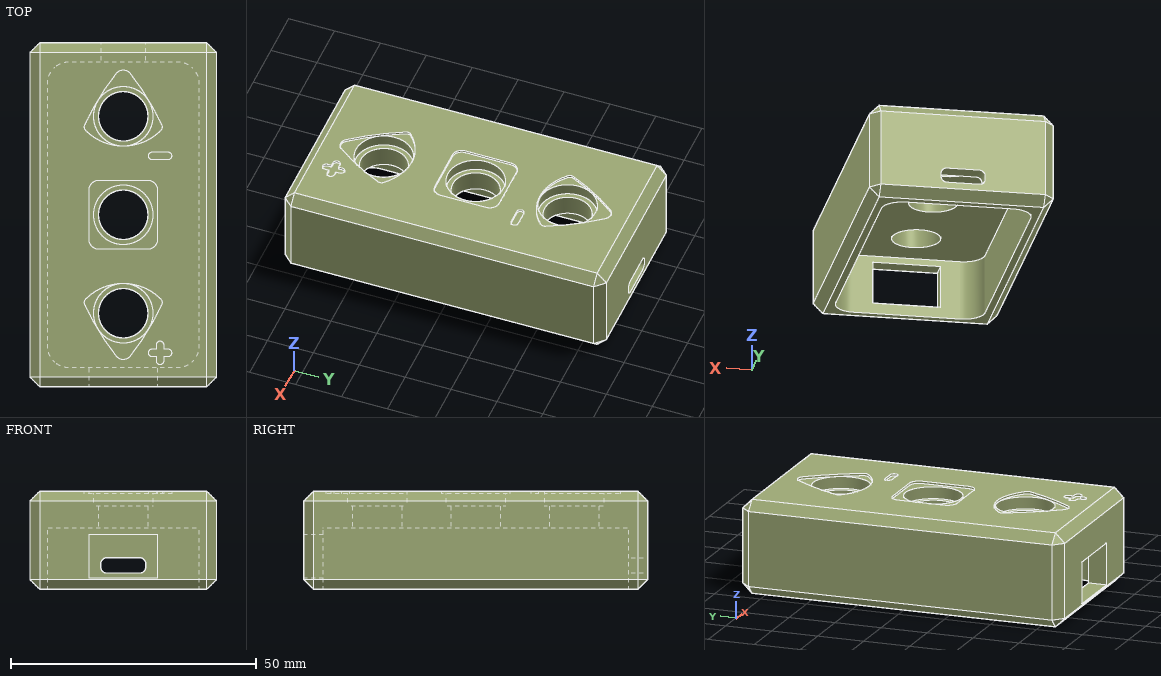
import cadquery as cq

WIDTH = 38.0
LENGTH = 70.0
HEIGHT = 20.0
EDGE_CHAMFER = 2.0

END_WALL = 3.9
SIDE_WALL = 3.6
ROOF_THICKNESS = 7.5
CAVITY_CORNER_RADIUS = 4.4
CAVITY_HEIGHT = HEIGHT - ROOF_THICKNESS

HOLE_PITCH = 20.0
HOLE_DIAMETER = 10.0
COUNTERBORE_DIAMETER = 12.1
COUNTERBORE_DEPTH = 2.5

RECESS_DEPTH = 0.5
SQUARE_SIDE = 14.0
SQUARE_CORNER_RADIUS = 2.0

ARROW_TIP = 10.4
ARROW_HALF_WIDTH = 8.1
ARROW_BASE_CORNER = 2.4
ARROW_BASE_BULGE = COUNTERBORE_DIAMETER / 2
ARROW_SIDE_BULGE = 0.55
ARROW_TIP_RADIUS = 1.8
ARROW_BASE_RADIUS = 1.0

MARK_LENGTH = 4.75
MARK_WIDTH = 1.55
MARK_DEPTH = RECESS_DEPTH
MARK_X = 7.5
MARK_OFFSET = 8.05

WINDOW_WIDTH = 14.0
WINDOW_BOTTOM = 2.3
WINDOW_TOP = 11.2

SLOT_WIDTH = 9.1
SLOT_HEIGHT = 3.1
SLOT_CENTRE_Z = 4.9
SLOT_CORNER_RADIUS = 1.2


def make_block():
    block = cq.Workplane("XY").box(WIDTH, LENGTH, HEIGHT, centered=(True, True, False))
    return block.edges().chamfer(EDGE_CHAMFER)


def make_cavity():
    """Rectangular hollow with rounded upright corners."""
    return (
        cq.Workplane("XY")
        .rect(WIDTH - 2 * SIDE_WALL, LENGTH - 2 * END_WALL)
        .extrude(CAVITY_HEIGHT)
        .edges("|Z")
        .fillet(CAVITY_CORNER_RADIUS)
    )


def make_stepped_hole(y):
    """Through hole with a counterbore sunk from the recess floor."""
    counterbore_height = RECESS_DEPTH + COUNTERBORE_DEPTH
    hole = cq.Workplane("XY").center(0, y).circle(HOLE_DIAMETER / 2).extrude(HEIGHT)
    counterbore = (
        cq.Workplane("XY", origin=(0, y, HEIGHT - counterbore_height))
        .circle(COUNTERBORE_DIAMETER / 2)
        .extrude(counterbore_height)
    )
    return hole.union(counterbore)


def make_square_recess():
    return (
        cq.Workplane("XY", origin=(0, 0, HEIGHT - RECESS_DEPTH))
        .rect(SQUARE_SIDE, SQUARE_SIDE)
        .extrude(RECESS_DEPTH)
        .edges("|Z")
        .fillet(SQUARE_CORNER_RADIUS)
    )


def make_arrow_recess(y, direction):
    """Rounded triangle around the hole at y, its tip towards +Y (1) or -Y (-1)."""
    tip = cq.Vector(0, direction * ARROW_TIP)
    left = cq.Vector(-ARROW_HALF_WIDTH, -direction * ARROW_BASE_CORNER)
    right = cq.Vector(ARROW_HALF_WIDTH, left.y)
    base_middle = cq.Vector(0, -direction * ARROW_BASE_BULGE)

    def side_middle(corner):
        side = tip - corner
        outward = cq.Vector(-side.y, side.x).normalized()
        if outward.x * corner.x < 0:
            outward = outward * -1
        return (tip + corner) * 0.5 + outward * ARROW_SIDE_BULGE

    sharp_arrow = (
        cq.Workplane("XY", origin=(0, y, HEIGHT - RECESS_DEPTH))
        .moveTo(left.x, left.y)
        .threePointArc(base_middle.toTuple()[:2], right.toTuple()[:2])
        .threePointArc(side_middle(right).toTuple()[:2], tip.toTuple()[:2])
        .threePointArc(side_middle(left).toTuple()[:2], left.toTuple()[:2])
        .close()
        .extrude(RECESS_DEPTH)
    )
    tip_edge, base_edges = (">Y", "<Y") if direction > 0 else ("<Y", ">Y")
    base_rounded = sharp_arrow.edges("|Z").edges(base_edges).fillet(ARROW_BASE_RADIUS)
    return base_rounded.edges("|Z").edges(tip_edge).fillet(ARROW_TIP_RADIUS)


def make_mark_bar(y, angle):
    """Round-ended groove in the top face."""
    return (
        cq.Workplane("XY", origin=(MARK_X, y, HEIGHT - MARK_DEPTH))
        .slot2D(MARK_LENGTH, MARK_WIDTH, angle)
        .extrude(MARK_DEPTH)
    )


def make_window():
    height = WINDOW_TOP - WINDOW_BOTTOM
    return cq.Workplane("XY", origin=(0, (END_WALL - LENGTH) / 2, WINDOW_BOTTOM)).box(
        WINDOW_WIDTH, END_WALL, height, centered=(True, True, False)
    )


def make_slot():
    return (
        cq.Workplane("XY", origin=(0, (LENGTH - END_WALL) / 2, SLOT_CENTRE_Z))
        .box(SLOT_WIDTH, END_WALL, SLOT_HEIGHT)
        .edges("|Y")
        .fillet(SLOT_CORNER_RADIUS)
    )


result = make_block().cut(make_cavity()).cut(make_window()).cut(make_slot())

for hole_y in (-HOLE_PITCH, 0, HOLE_PITCH):
    result = result.cut(make_stepped_hole(hole_y))

result = result.cut(make_square_recess())
for direction in (-1, 1):
    result = result.cut(make_arrow_recess(direction * HOLE_PITCH, direction))

minus_y = HOLE_PITCH - MARK_OFFSET
plus_y = -HOLE_PITCH - MARK_OFFSET
result = result.cut(make_mark_bar(minus_y, 0))
for angle in (0, 90):
    result = result.cut(make_mark_bar(plus_y, angle))